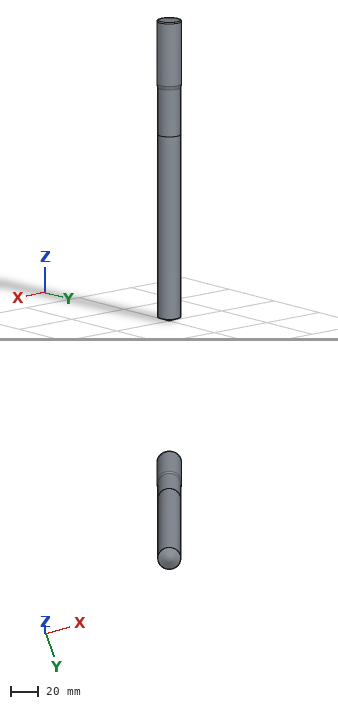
import cadquery as cq
import math

total_length = 223.0
shank_diameter = 18.0
drill_diameter = 16.7
shank_length = 47.3
taper_length = 2.7
holder_length = 84.7
end_chamfer = 1.0
point_angle = 140.0

shank_radius = shank_diameter / 2
drill_radius = drill_diameter / 2
joint_z = total_length - holder_length
taper_top_z = total_length - shank_length
taper_bottom_z = taper_top_z - taper_length
point_height = drill_radius / math.tan(math.radians(point_angle / 2))


def revolve_about_z(profile_points):
    """Revolve a closed (radius, height) outline about the Z axis."""
    outline = cq.Workplane("XZ").polyline(profile_points).close()
    return outline.revolve(360, (0, 0, 0), (0, 1, 0))


def make_holder():
    """Chamfered shank that tapers to a neck flush with the cutting body."""
    return revolve_about_z([
        (0, joint_z),
        (drill_radius, joint_z),
        (drill_radius, taper_bottom_z),
        (shank_radius, taper_top_z),
        (shank_radius, total_length - end_chamfer),
        (shank_radius - end_chamfer, total_length),
        (0, total_length),
    ])


def make_cutting_body():
    """Plain cylinder ending in a conical drill point."""
    return revolve_about_z([
        (0, 0),
        (drill_radius, point_height),
        (drill_radius, joint_z),
        (0, joint_z),
    ])


holder = make_holder()
cutting_body = make_cutting_body()

result = cq.Compound.makeCompound([holder.val(), cutting_body.val()])